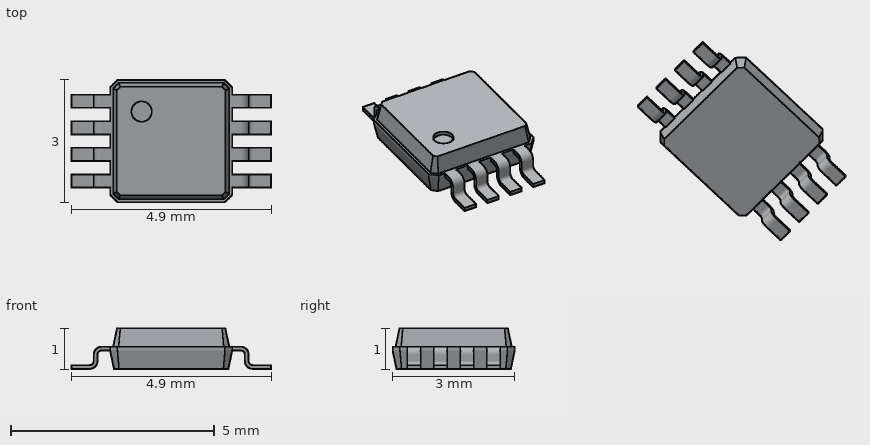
import cadquery as cq
import math

span = 4.9
body_side = 3.0
height = 1.0

lead_thickness = 0.1
lead_width = 0.33
lead_pitch = 0.65
leads_per_side = 4
foot_length = 0.45
bend_inner_radius = 0.1
bend_outer_radius = bend_inner_radius + lead_thickness

rim_thickness = lead_thickness
half_height = (height - rim_thickness) / 2
rim_bottom = half_height
rim_top = half_height + rim_thickness
corner_chamfer = 0.18
ledge_width = 0.075
draft_angle = 12.0

marker_diameter = 0.5
marker_offset = 0.725
marker_depth = 0.1


def chamfered_square(z, inset):
    """Rim outline at height z, moved inward by an equal distance on every edge."""
    chamfer = corner_chamfer - (2 - math.sqrt(2)) * inset
    half = body_side / 2 - inset
    near = half - chamfer
    points = [
        (near, half), (half, near), (half, -near), (near, -half),
        (-near, -half), (-half, -near), (-half, near), (-near, half),
    ]
    return cq.Workplane("XY", origin=(0, 0, z)).polyline(points).close()


def make_body():
    rim = chamfered_square(rim_bottom, 0).extrude(rim_thickness)
    lower = chamfered_square(rim_bottom, 0).extrude(-half_height, taper=draft_angle)
    upper = chamfered_square(rim_top, ledge_width).extrude(half_height, taper=draft_angle)
    return rim.union(lower).union(upper)


def make_lead(y):
    """Gull-wing lead on the -X side, centred on y and ending inside the rim."""
    tip = -span / 2
    foot_end = tip + foot_length
    shank_outer = foot_end + bend_inner_radius
    shank_inner = shank_outer + lead_thickness
    shoulder = shank_outer + bend_outer_radius
    root = -body_side / 2 + ledge_width
    lower_bend_z = bend_outer_radius
    upper_bend_z = rim_top - bend_outer_radius
    diagonal = math.sqrt(0.5)
    inner_reach = bend_inner_radius * diagonal
    outer_reach = bend_outer_radius * diagonal

    return (
        cq.Workplane("XZ", origin=(0, y + lead_width / 2, 0))
        .moveTo(tip, 0)
        .lineTo(foot_end, 0)
        .threePointArc((foot_end + outer_reach, lower_bend_z - outer_reach), (shank_inner, lower_bend_z))
        .lineTo(shank_inner, upper_bend_z)
        .threePointArc((shoulder - inner_reach, upper_bend_z + inner_reach), (shoulder, rim_bottom))
        .lineTo(root, rim_bottom)
        .lineTo(root, rim_top)
        .lineTo(shoulder, rim_top)
        .threePointArc((shoulder - outer_reach, upper_bend_z + outer_reach), (shank_outer, upper_bend_z))
        .lineTo(shank_outer, lower_bend_z)
        .threePointArc((foot_end + inner_reach, lower_bend_z - inner_reach), (foot_end, lead_thickness))
        .lineTo(tip, lead_thickness)
        .close()
        .extrude(lead_width)
    )


def make_marker():
    return (
        cq.Workplane("XY", origin=(-marker_offset, marker_offset, height))
        .circle(marker_diameter / 2)
        .extrude(-marker_depth)
    )


result = make_body().cut(make_marker())
for index in range(leads_per_side):
    lead = make_lead((index - (leads_per_side - 1) / 2) * lead_pitch)
    result = result.union(lead).union(lead.mirror("YZ"))